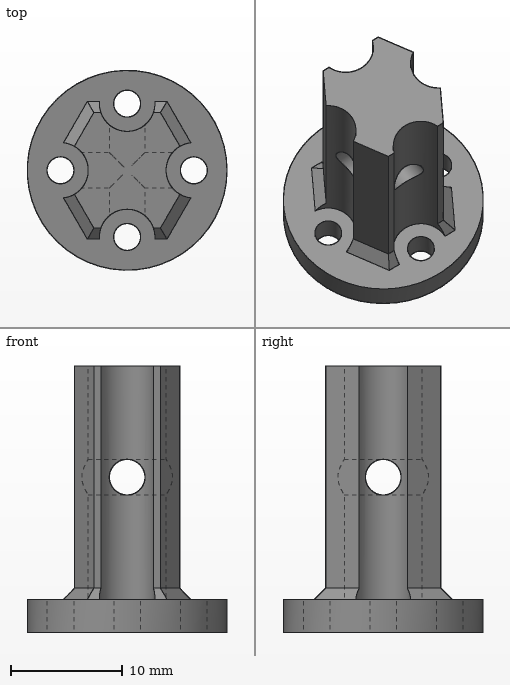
import cadquery as cq
import math

total_height = 24.0
flange_diameter = 18.0
flange_thickness = 3.0
hex_corner_radius = 6.0
skirt_size = 1.0
groove_radius = 2.5
screw_hole_diameter = 2.4
screw_circle_radius = 6.0
cross_hole_diameter = 3.2
cross_hole_height = 14.0

groove_count = 4
hex_sides = 6

post_height = total_height - flange_thickness
skirt_angle = 45
skirt_corner_radius = hex_corner_radius + skirt_size / math.cos(math.pi / hex_sides)


def hexagon(corner_radius):
    """Hexagon with two corners on the X axis, on top of the flange."""
    return cq.Workplane("XY", origin=(0, 0, flange_thickness)).polygon(hex_sides, 2 * corner_radius)


def on_screw_circle(height):
    """Places on the X and Y axes, shared by the grooves and screw holes."""
    plane = cq.Workplane("XY", origin=(0, 0, height))
    return plane.polarArray(screw_circle_radius, 0, 360, groove_count)


def cross_hole(plane_name):
    """Horizontal cylinder through the middle of the post."""
    plane = cq.Workplane(plane_name, origin=(0, 0, cross_hole_height))
    return plane.circle(cross_hole_diameter / 2).extrude(flange_diameter / 2, both=True)


post = hexagon(hex_corner_radius).extrude(post_height)
skirt = hexagon(skirt_corner_radius).extrude(skirt_size, taper=skirt_angle)
post = post.union(skirt)

post = post.cut(on_screw_circle(flange_thickness).circle(groove_radius).extrude(post_height))
for plane_name in ("YZ", "XZ"):
    post = post.cut(cross_hole(plane_name))

flange = cq.Workplane("XY").circle(flange_diameter / 2).extrude(flange_thickness)
flange = flange.cut(on_screw_circle(0).circle(screw_hole_diameter / 2).extrude(flange_thickness))

result = flange.union(post)